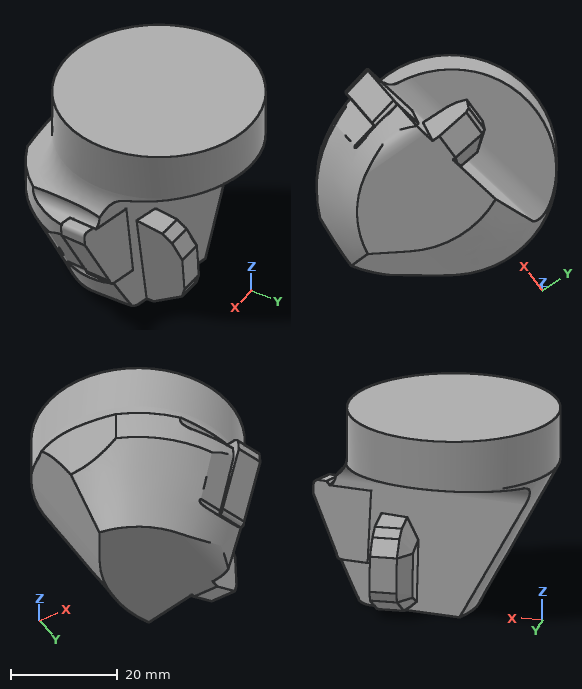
import cadquery as cq
import math

shank_radius = 19.995
shank_height = 10.0
total_height = 38.5

neck_radius = 6.0
shoulder_slope = math.radians(30)
rim_radius = 24.95
taper_top = 22.5
nose_radius = 17.4

front_flat_y = -22.95
flat_start_x = 1.0
blend_radius = 17.8
blend_sweep = math.radians(37.5)

lean_x = 15.2
side_flat_angle = math.radians(212)

tip = (26.8, 0.1, -16.15)
turn_angle = math.radians(10.5)
axial_angle = math.radians(7)
gullet_fillet = 4.0
gullet_roof = 4.6

insert_thickness = 5.95
insert_width = 11.7
insert_length = 14.55
tip_land = 2.55
edge_shift = 5.4
top_edge_length = 2.63
top_bevel = 0.7
insert_corner_radius = 0.95

groove_top = 4.7
groove_mouth = (-3.5, groove_top)
groove_side = (-4.2, 2.35)
groove_bottom = (-4.4, 0.85)
groove_foot = (-3.35, -0.55)
shelf_end = (-1.5, -1.5)
shelf_corner = (-1.13, -1.7)
flank_start = (-1.1, -2.25)
flank_bend = (-1.5, -3.75)
flank_end = (-6.0, -13.8)
end_middle = (-6.25, -14.8)
end_exit = -5.55
clearance_bottom = -15.45

boss_start_x = 5.63
boss_end_x = 13.13
boss_root_y = 2.35
boss_bevel = 2.35

nose_corner_radius = 3.75

reach = 56.25

rake_plane = cq.Plane(
    origin=tip,
    xDir=(math.cos(turn_angle), -math.sin(turn_angle), 0),
    normal=(
        -math.sin(turn_angle) * math.cos(axial_angle),
        -math.cos(turn_angle) * math.cos(axial_angle),
        -math.sin(axial_angle),
    ),
)


def turned_blank():
    """Shank and head as one profile revolved about Z."""
    neck_angle = math.pi / 2 - shoulder_slope
    neck_x = shank_radius + neck_radius * (1 - math.cos(neck_angle))
    neck_z = -shank_height - neck_radius * math.sin(neck_angle)
    middle_x = shank_radius + neck_radius * (1 - math.cos(neck_angle / 2))
    middle_z = -shank_height - neck_radius * math.sin(neck_angle / 2)
    rim_z = neck_z - (rim_radius - neck_x) * math.tan(shoulder_slope)
    return (
        cq.Workplane("XZ")
        .lineTo(shank_radius, 0)
        .lineTo(shank_radius, -shank_height)
        .threePointArc((middle_x, middle_z), (neck_x, neck_z))
        .lineTo(rim_radius, rim_z)
        .lineTo(rim_radius, -taper_top)
        .lineTo(nose_radius, -total_height)
        .lineTo(0, -total_height)
        .close()
        .revolve(360, (0, 0, 0), (0, 1, 0))
    )


def front_trim():
    """Upright envelope: flat -Y face running into a rounded -X corner."""
    center_y = front_flat_y + blend_radius

    def blend_point(angle):
        return (
            flat_start_x - blend_radius * math.sin(angle),
            center_y - blend_radius * math.cos(angle),
        )

    end_x, end_y = blend_point(blend_sweep)
    return (
        cq.Workplane("XY")
        .moveTo(reach, front_flat_y)
        .lineTo(flat_start_x, front_flat_y)
        .threePointArc(blend_point(blend_sweep / 2), (end_x, end_y))
        .lineTo(end_x - reach * math.cos(blend_sweep), end_y + reach * math.sin(blend_sweep))
        .lineTo(-reach, reach)
        .lineTo(reach, reach)
        .close()
        .extrude(-total_height)
    )


def leaning_side():
    """Oblique prism under the shank: its round side ends in a tangent flat."""
    flat_x = shank_radius * math.cos(side_flat_angle)
    flat_y = shank_radius * math.sin(side_flat_angle)

    def section(shift, z):
        return (
            cq.Workplane("XY", origin=(shift, 0, z))
            .moveTo(0, shank_radius)
            .threePointArc((-shank_radius, 0), (flat_x, flat_y))
            .lineTo(
                flat_x - reach * math.sin(side_flat_angle),
                flat_y + reach * math.cos(side_flat_angle),
            )
            .lineTo(reach, -reach)
            .lineTo(reach, shank_radius)
            .close()
            .val()
        )

    prism = cq.Solid.makeLoft([section(0, -shank_height), section(lean_x, -total_height)], True)
    shank_zone = cq.Workplane("XY").rect(2 * reach, 2 * reach).extrude(-shank_height)
    return shank_zone.union(cq.Workplane(prism))


def gullet():
    """Open space on the +Y side of the rake plane, rounded under the shank."""
    inner_corner = rake_plane.toWorldCoords((0, gullet_roof, 0)).toTuple()
    return (
        cq.Workplane(rake_plane)
        .moveTo(-reach, gullet_roof)
        .lineTo(reach, gullet_roof)
        .lineTo(reach, -reach)
        .lineTo(-reach, -reach)
        .close()
        .extrude(-reach)
        .edges(cq.selectors.NearestToPointSelector(inner_corner))
        .fillet(gullet_fillet)
    )


def insert_clearance():
    """Rounded groove and flank relief that free the cutting edge, parallel to the insert."""
    return (
        cq.Workplane(rake_plane)
        .moveTo(*groove_mouth)
        .lineTo(*groove_side)
        .threePointArc(groove_bottom, groove_foot)
        .lineTo(*shelf_end)
        .threePointArc(shelf_corner, flank_start)
        .lineTo(*flank_bend)
        .lineTo(*flank_end)
        .threePointArc(end_middle, (end_exit, clearance_bottom))
        .lineTo(reach, clearance_bottom)
        .lineTo(reach, groove_top)
        .close()
        .extrude(reach, both=True)
    )


def insert_body():
    """Slanted plate: bevelled inner top, rounded tip, short land, long flank, rounded lower end."""
    diagonal = insert_corner_radius * math.sqrt(0.5)
    return (
        cq.Workplane(rake_plane)
        .moveTo(-insert_width, -top_bevel)
        .lineTo(-top_edge_length - top_bevel, -top_bevel)
        .lineTo(-top_edge_length, 0)
        .lineTo(-insert_corner_radius, 0)
        .threePointArc(
            (diagonal - insert_corner_radius, diagonal - insert_corner_radius),
            (0, -insert_corner_radius),
        )
        .lineTo(0, -tip_land)
        .lineTo(-edge_shift, insert_corner_radius - insert_length)
        .threePointArc(
            (-edge_shift - insert_corner_radius + diagonal, insert_corner_radius - insert_length - diagonal),
            (-edge_shift - insert_corner_radius, -insert_length),
        )
        .lineTo(-insert_width, -insert_length)
        .close()
        .extrude(insert_thickness)
    )


def boss():
    """Block standing on the gullet wall, bevelled around its -X end."""
    full_outline = [
        (boss_root_y, -20.65),
        (8.9, -21.55),
        (11.0, -22.95),
        (13.25, -26.0),
        (13.75, -32.8),
        (13.15, -34.75),
        (7.0, -total_height),
        (boss_root_y, -total_height),
    ]
    end_outline = [
        (boss_root_y, -24.4),
        (8.45, -25.55),
        (9.38, -25.8),
        (9.85, -26.0),
        (10.45, -34.0),
        (10.3, -34.6),
        (6.1, -36.8),
        (boss_root_y, -36.8),
    ]

    def outline_at(x, points):
        return cq.Workplane("YZ", origin=(x, 0, 0)).polyline(points).close()

    bevel_x = boss_start_x + boss_bevel
    bevel = cq.Solid.makeLoft(
        [outline_at(boss_start_x, end_outline).val(), outline_at(bevel_x, full_outline).val()], True
    )
    return outline_at(bevel_x, full_outline).extrude(boss_end_x - bevel_x).union(cq.Workplane(bevel))


def nose_corner():
    """Material outside the rounded corner between the taper and the bottom."""
    taper = math.atan2(rim_radius - nose_radius, total_height - taper_top)
    run = nose_corner_radius * math.tan(math.pi / 4 - taper / 2)
    center = (nose_radius - run, nose_corner_radius - total_height)
    middle_angle = (math.pi / 2 + taper) / 2
    end = (
        center[0] + nose_corner_radius * math.cos(taper),
        center[1] - nose_corner_radius * math.sin(taper),
    )
    middle = (
        center[0] + nose_corner_radius * math.cos(middle_angle),
        center[1] - nose_corner_radius * math.sin(middle_angle),
    )
    return (
        cq.Workplane("XZ")
        .moveTo(center[0], -total_height)
        .threePointArc(middle, end)
        .lineTo(rim_radius, end[1])
        .lineTo(rim_radius, -total_height)
        .close()
        .extrude(reach, both=True)
    )


insert = insert_body()

housing = (
    turned_blank()
    .intersect(front_trim())
    .intersect(leaning_side())
    .cut(gullet())
    .cut(insert_clearance())
    .cut(nose_corner())
    .union(boss())
    .cut(insert)
)

result = cq.Compound.makeCompound([housing.val(), insert.val()])